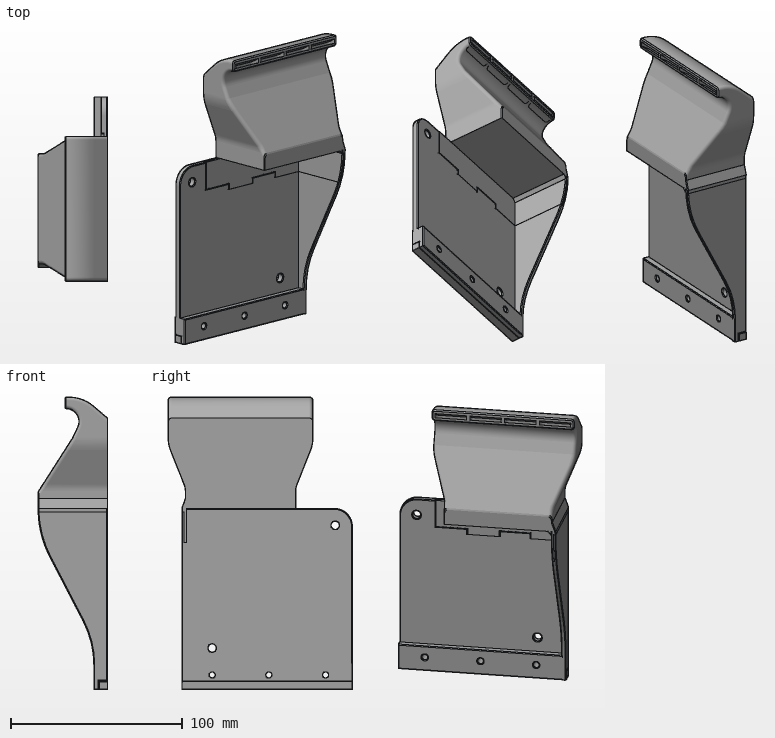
import cadquery as cq
import math

depth = 40.5
base_width = 99.3
edge_break = 0.5
joint_z = 105.2
tolerance = 0.02

wall_thickness = 2.7
strip_x = 32.5
strip_height = 15.3
plate_x = 36.5
plate_corner_radius = 10.5
upper_bend_radius = 61.2
lower_bend_radius = 55.2
wall_slope = math.radians(27.4)

mount_hole_diameter = 4.8
mount_holes = [(89.2, 95.4), (17.7, 24.0)]
strip_hole_diameter = 3.4
strip_hole_z = 8.3
strip_hole_pitch = 33.0
strip_hole_count = 3
first_strip_hole_y = 17.7

lap_y = wall_thickness / 2
lap_seam_z = 103.2
tongue_x = 38.5
tongue_end_y = 77.9
tongue_low_z = 85.3
tongue_high_z = 88.9
tongue_gap = 0.5
tooth_count = 4
corner_chamfer = 2.0

channel_width = 5.1
channel_height = 4.8
rod_clearance = 0.3

waist_min_y = 2.0
waist_max_y = 66.3
waist_bevel_top_z = 111.0
hook_half_width = 42.2
flare_angle = math.radians(21.7)
flare_lower_radius = 10.2
flare_upper_radius = 19.5
waist_half_width = (waist_max_y - waist_min_y) / 2
hook_center_y = (waist_max_y + waist_min_y) / 2

hook_top_z = 170.0
front_edge_z = 114.7
neck_z = 146.2
throat_radius = 7.5
throat_x = 16.3
throat_z = 155.7
neck_slope = math.radians(25)
tip_x = 15.6
tip_break = 0.7
crown_x = 18.0
crown_radius = 22.0
crown_angle = math.radians(41)
crown_end_z = 157.7
hook_edge_fillet = 2.0

slot_count = 4
slot_pitch = 20.5
slot_length = 18.5
slot_height = 2.5
slot_z = 166.4
slot_depth = 4.8
slot_slope = math.radians(30)
slot_corner_radius = 1.5


def box(x_range, y_range, z_range):
    """Axis-aligned box from its limits along each axis."""
    (x0, x1), (y0, y1), (z0, z1) = x_range, y_range, z_range
    return cq.Workplane("XY").box(x1 - x0, y1 - y0, z1 - z0, centered=False).translate((x0, y0, z0))


def extrude_y(profile, y0, y1):
    """Extrude an XZ profile from y0 to y1."""
    return profile.extrude(y0 - y1).translate((0, y0, 0))


def wall_blank(y0, y1):
    """Slab with the outline of the side wall: S-curved front edge, straight back."""

    def upper_bend(angle):
        drop = upper_bend_radius * (1 - math.cos(angle))
        return drop, joint_z - upper_bend_radius * math.sin(angle)

    upper_end_x, upper_end_z = upper_bend(wall_slope)
    lower_start_x = strip_x - lower_bend_radius * (1 - math.cos(wall_slope))
    lower_start_z = upper_end_z - (lower_start_x - upper_end_x) / math.tan(wall_slope)
    foot_z = lower_start_z - lower_bend_radius * math.sin(wall_slope)
    lower_middle = (
        strip_x - lower_bend_radius * (1 - math.cos(wall_slope / 2)),
        foot_z + lower_bend_radius * math.sin(wall_slope / 2),
    )
    profile = (
        cq.Workplane("XZ")
        .moveTo(0, joint_z)
        .threePointArc(upper_bend(wall_slope / 2), upper_bend(wall_slope))
        .lineTo(lower_start_x, lower_start_z)
        .threePointArc(lower_middle, (strip_x, foot_z))
        .lineTo(strip_x, 0)
        .lineTo(depth, 0)
        .lineTo(depth, joint_z)
        .close()
    )
    return extrude_y(profile, y0, y1)


def side_wall():
    """Side wall with its front edges and its outer back edge broken."""
    wall = wall_blank(0, wall_thickness)

    def is_broken(edge):
        bounds = edge.BoundingBox()
        on_front = bounds.xmax < strip_x + tolerance
        on_outer_back = bounds.xmin > depth - tolerance and bounds.ymax < lap_y
        return on_front or on_outer_back

    edges = [edge for edge in wall.edges("not(|Y)").vals() if is_broken(edge)]
    return wall.newObject(edges).chamfer(edge_break)


def plate_tongue(gap=0.0):
    """Toothed tongue let into the front of the back plate; the gap widens it to make its recess."""
    tooth_width = (tongue_end_y - wall_thickness) / tooth_count
    tongue = box(
        (plate_x, tongue_x), (wall_thickness, tongue_end_y + gap), (tongue_high_z - gap, joint_z)
    )
    for index in range(0, tooth_count, 2):
        start = wall_thickness + index * tooth_width
        tongue = tongue.union(
            box((plate_x, tongue_x), (start - gap, start + tooth_width + gap), (tongue_low_z, joint_z))
        )
    return tongue


def lap_joint():
    """Everything of the hook below its underside: side tongue, cap over the wall and plate tongue."""
    side_tongue = side_wall().intersect(box((0, depth), (lap_y, wall_thickness), (tongue_low_z, joint_z)))
    wall_cap = side_wall().intersect(box((0, depth), (0, lap_y), (lap_seam_z, joint_z)))
    corner = (
        cq.Workplane("YZ")
        .moveTo(wall_thickness, joint_z)
        .lineTo(wall_thickness + corner_chamfer, joint_z)
        .lineTo(wall_thickness, joint_z - corner_chamfer)
        .close()
        .extrude(plate_x)
        .intersect(wall_blank(0, base_width))
    )
    return side_tongue.union(wall_cap).union(corner).union(plate_tongue())


def hook_profile():
    """Hook outline in XZ, from the underside up the front, round the throat and over the crown."""
    throat_end = (
        throat_x + throat_radius * math.cos(neck_slope),
        throat_z - throat_radius * math.sin(neck_slope),
    )
    neck_x = throat_end[0] - (throat_end[1] - neck_z) * math.tan(neck_slope)
    throat_top_z = throat_z + math.sqrt(throat_radius**2 - (throat_x - tip_x) ** 2)
    diagonal = throat_radius * math.sqrt(0.5)
    crown_z = hook_top_z - crown_radius
    tip_angle = -math.asin((crown_x - tip_x) / crown_radius)

    def crown_point(angle):
        return crown_x + crown_radius * math.sin(angle), crown_z + crown_radius * math.cos(angle)

    return (
        cq.Workplane("XZ")
        .moveTo(0, joint_z)
        .lineTo(0, front_edge_z)
        .lineTo(neck_x, neck_z)
        .lineTo(*throat_end)
        .threePointArc((throat_x + diagonal, throat_z + diagonal), (tip_x, throat_top_z))
        .lineTo(*crown_point(tip_angle))
        .threePointArc(crown_point(crown_angle / 2), crown_point(crown_angle))
        .lineTo(depth, crown_end_z)
        .lineTo(depth, joint_z)
        .close()
    )


def hook_outline():
    """Hook outline in YZ: straight waist, then sides that flare out in an S-curve to the full width."""
    rounding = (flare_lower_radius + flare_upper_radius) * (1 - math.cos(flare_angle))
    straight = (hook_half_width - waist_half_width - rounding) / math.sin(flare_angle)
    height = (
        (flare_lower_radius + flare_upper_radius) * math.sin(flare_angle)
        + straight * math.cos(flare_angle)
    )
    waist_top_z = neck_z - height

    def lower_arc(angle):
        half_width = waist_half_width + flare_lower_radius * (1 - math.cos(angle))
        return half_width, waist_top_z + flare_lower_radius * math.sin(angle)

    straight_start = lower_arc(flare_angle)
    straight_end = (
        straight_start[0] + straight * math.sin(flare_angle),
        straight_start[1] + straight * math.cos(flare_angle),
    )

    def upper_arc(angle):
        half_width = hook_half_width - flare_upper_radius * (1 - math.cos(angle))
        return half_width, neck_z - flare_upper_radius * math.sin(angle)

    def left(point):
        return hook_center_y - point[0], point[1]

    def right(point):
        return hook_center_y + point[0], point[1]

    return (
        cq.Workplane("YZ")
        .moveTo(waist_min_y, joint_z)
        .lineTo(waist_min_y, waist_top_z)
        .threePointArc(left(lower_arc(flare_angle / 2)), left(straight_start))
        .lineTo(*left(straight_end))
        .threePointArc(left(upper_arc(flare_angle / 2)), left((hook_half_width, neck_z)))
        .lineTo(*left((hook_half_width, hook_top_z)))
        .lineTo(*right((hook_half_width, hook_top_z)))
        .lineTo(*right((hook_half_width, neck_z)))
        .threePointArc(right(upper_arc(flare_angle / 2)), right(straight_end))
        .lineTo(*right(straight_start))
        .threePointArc(right(lower_arc(flare_angle / 2)), (waist_max_y, waist_top_z))
        .lineTo(waist_max_y, joint_z)
        .close()
    )


def waist_bevel():
    """Wedge that widens the waist down to the outer face of the side wall."""
    inner_y = waist_min_y + 2 * edge_break
    return (
        cq.Workplane("YZ")
        .moveTo(0, joint_z)
        .lineTo(waist_min_y, waist_bevel_top_z)
        .lineTo(inner_y, waist_bevel_top_z)
        .lineTo(inner_y, joint_z)
        .close()
        .extrude(depth)
        .faces("<X")
        .edges("not(|Y or |Z)")
        .chamfer(edge_break)
    )


def is_rounded_edge(edge):
    """True for the edges where the profile meets the flared sides, from the front edge to the back."""
    bounds = edge.BoundingBox()
    crosses_width = bounds.xlen < tolerance and bounds.zlen < tolerance
    along_depth = bounds.ylen < tolerance and bounds.zlen < tolerance
    on_back = bounds.xmin > depth - tolerance
    on_tip = bounds.xmax < tip_x + tolerance and bounds.zmin > neck_z
    return bounds.zmin > front_edge_z - tolerance and not (crosses_width or along_depth or on_back or on_tip)


def tip_slot(center_y):
    """Slot that runs into the tip face and slopes down inward, with rounded inner corners."""
    drop = slot_depth * math.tan(slot_slope)
    top_z = slot_z + slot_height / 2
    bottom_z = slot_z - slot_height / 2
    profile = (
        cq.Workplane("XZ")
        .moveTo(tip_x, bottom_z)
        .lineTo(tip_x, top_z)
        .lineTo(tip_x + slot_depth, top_z - drop)
        .lineTo(tip_x + slot_depth, bottom_z - drop)
        .close()
    )
    slot = extrude_y(profile, center_y - slot_length / 2, center_y + slot_length / 2)
    return slot.edges("|Z and >X").fillet(slot_corner_radius)


def make_hook():
    """Solid hook with rounded side edges, slotted tip and the parts that lap into the base."""
    hook = extrude_y(hook_profile(), -base_width, base_width)
    hook = hook.intersect(hook_outline().extrude(depth))
    edges = [edge for edge in hook.edges().vals() if is_rounded_edge(edge)]
    hook = hook.newObject(edges).fillet(hook_edge_fillet)
    tip_center = (tip_x, hook_center_y, slot_z)
    hook = hook.faces(cq.selectors.NearestToPointSelector(tip_center)).chamfer(tip_break)
    hook = hook.faces("<X").edges("not(<Z)").chamfer(edge_break)
    for index in range(slot_count):
        offset = (index - (slot_count - 1) / 2) * slot_pitch
        hook = hook.cut(tip_slot(hook_center_y + offset))
    return hook.union(waist_bevel()).union(lap_joint())


def back_plate():
    """Plate with one rounded corner and broken edges on its free sides."""
    plate = box((plate_x, depth), (lap_y, base_width), (0, joint_z))
    plate = plate.edges("|X and >Y and >Z").fillet(plate_corner_radius)

    def is_free(edge):
        bounds = edge.BoundingBox()
        on_free_side = bounds.ymax > base_width - plate_corner_radius - tolerance
        return on_free_side and bounds.zmax > tolerance

    free_edges = [edge for edge in plate.edges("not(|X)").vals() if is_free(edge)]
    return plate.newObject(free_edges).chamfer(edge_break)


def bottom_strip():
    """Strip along the bottom with broken front edges."""
    strip = box((strip_x, depth), (lap_y, base_width), (0, strip_height))
    return strip.edges("<X and (not(<Y))").chamfer(edge_break)


def broken_hole(y, z, diameter, front_x):
    """Through hole along X with a chamfered mouth at front_x, as a cutting tool."""
    radius = diameter / 2
    bore = cq.Workplane("YZ").center(y, z).circle(radius).extrude(depth)
    mouth = cq.Solid.makeCone(
        radius + edge_break, radius, edge_break, cq.Vector(front_x, y, z), cq.Vector(1, 0, 0)
    )
    return bore.union(cq.Workplane(mouth))


def channel_mouth():
    """Chamfer around the end of the channel in the side wall, as a cutting tool."""
    return (
        cq.Workplane("XY")
        .box(2 * (channel_width + edge_break), 4 * edge_break, 2 * (channel_height + edge_break))
        .edges(">Y and (|X or |Z)")
        .chamfer(edge_break)
        .translate((depth, -edge_break, 0))
    )


def make_base():
    """Side wall, back plate and bottom strip in one piece, recessed for the hook and the rod."""
    base = back_plate().union(bottom_strip()).union(side_wall())
    base = base.cut(lap_joint()).cut(plate_tongue(tongue_gap))
    channel = box((depth - channel_width, depth), (0, base_width), (0, channel_height))
    base = base.cut(channel).cut(channel_mouth())
    for y, z in mount_holes:
        base = base.cut(broken_hole(y, z, mount_hole_diameter, plate_x))
    for index in range(strip_hole_count):
        y = first_strip_hole_y + index * strip_hole_pitch
        base = base.cut(broken_hole(y, strip_hole_z, strip_hole_diameter, strip_x))
    return base


def make_rod():
    """Rod along the whole channel, flush with the base at the back and underneath."""
    return box(
        (depth - channel_width + rod_clearance, depth),
        (0, base_width),
        (0, channel_height - rod_clearance),
    )


hook = make_hook()
base = make_base()
rod = make_rod()

result = cq.Compound.makeCompound([hook.val(), base.val(), rod.val()])